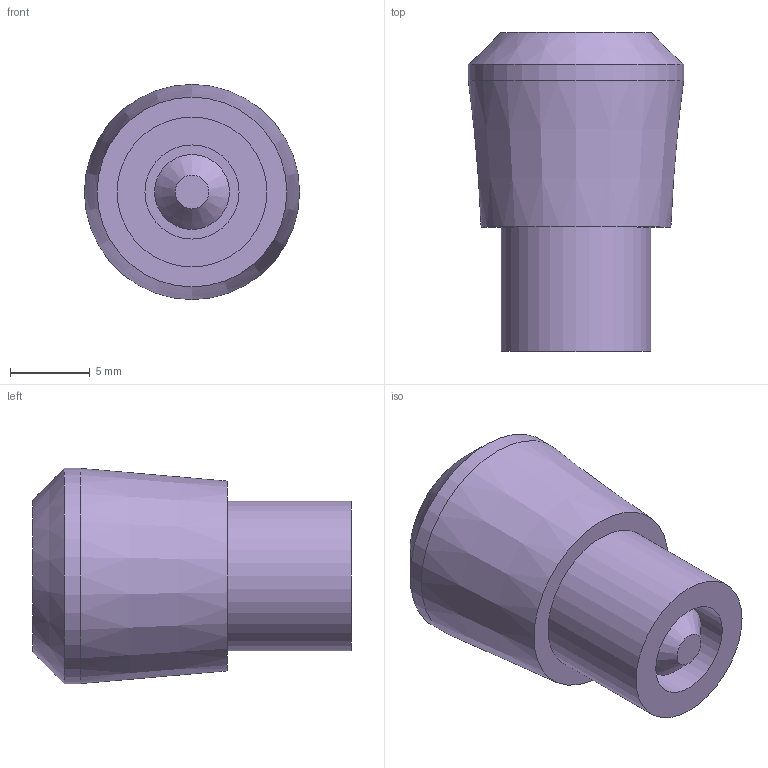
import cadquery as cq

overall_length = 20.0
stem_length = 7.8
stem_diameter = 9.4

head_diameter = 13.5
head_root_diameter = 11.9
head_band_length = 1.0
head_chamfer = 2.0

bore_diameter = 5.9
bore_depth = 5.0

pin_diameter = 4.7
pin_tip_diameter = 2.1
pin_cone_length = 1.3


def revolve_about_y(profile_points):
    """Revolve a closed (Y, radius) outline a full turn about the Y axis."""
    return (
        cq.Workplane("YZ")
        .polyline(profile_points)
        .close()
        .revolve(360, (0, 0, 0), (1, 0, 0))
    )


def make_body():
    """Solid stem, tapered head, straight band and chamfered crown."""
    stem_radius = stem_diameter / 2
    head_radius = head_diameter / 2
    band_end = overall_length - head_chamfer
    band_start = band_end - head_band_length
    return revolve_about_y([
        (0, 0),
        (0, stem_radius),
        (stem_length, stem_radius),
        (stem_length, head_root_diameter / 2),
        (band_start, head_radius),
        (band_end, head_radius),
        (overall_length, head_radius - head_chamfer),
        (overall_length, 0),
    ])


def make_bore():
    """Blind cylindrical bore entering from the stem's open end."""
    bore_radius = bore_diameter / 2
    return revolve_about_y([
        (0, 0),
        (0, bore_radius),
        (bore_depth, bore_radius),
        (bore_depth, 0),
    ])


def make_pin():
    """Centre pin on the bore floor; its flat conical tip is flush with the stem end."""
    pin_radius = pin_diameter / 2
    return revolve_about_y([
        (0, 0),
        (0, pin_tip_diameter / 2),
        (pin_cone_length, pin_radius),
        (bore_depth, pin_radius),
        (bore_depth, 0),
    ])


result = make_body().cut(make_bore()).union(make_pin())